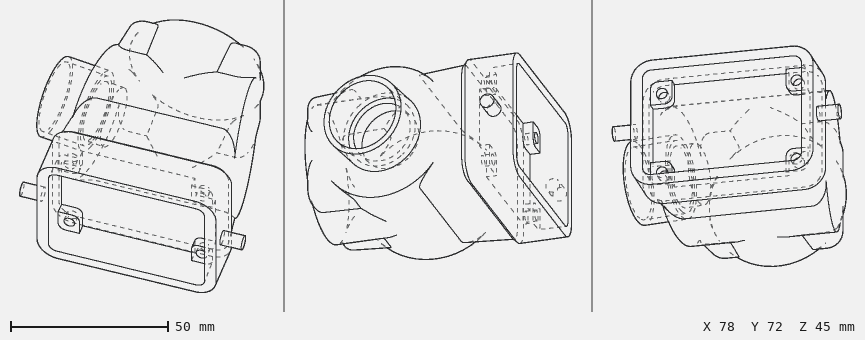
import cadquery as cq
import math

overall_height = 72.0

skirt_width = 59.8
skirt_depth = 42.9
skirt_corner_radius = 7.0
skirt_height = 17.6
skirt_chamfer = 1.55

housing_base_width = skirt_width - 2 * skirt_chamfer
housing_base_depth = skirt_depth - 2 * skirt_chamfer
side_draft_angle = 7.0
face_draft_angle = 1.0
housing_corner_radius = 5.45
housing_end_radius = 2.8

barrel_diameter = 45.0
barrel_axis_y = 45.0

tube_diameter = 27.1
tube_axis_y = 45.4
tube_length = 14.5
tube_bore_diameter = 23.4
entry_hole_diameter = 19.9
entry_hole_depth = 6.25

pin_radius = 2.35
pin_span = 74.0
pin_y = 6.3

cavity_width = 52.2
cavity_depth = 36.05
cavity_corner_radius = 2.8
cavity_height = 12.55
cavity_draft_angle = 1.7
pad_inner_x = 18.7
pad_inner_z = 9.9
pad_corner_radius = 2.35
pad_height = 3.35
screw_hole_radius = 1.8
screw_hole_x = 22.1
screw_hole_z = 13.6

side_slope = math.tan(math.radians(side_draft_angle))
face_slope = math.tan(math.radians(face_draft_angle))


def plane_at(y):
    """Plane square to the hood axis: local x is -X, local y is Z, extruding towards +Y."""
    return cq.Workplane(cq.Plane(origin=(0, y, 0), xDir=(-1, 0, 0), normal=(0, 1, 0)))


def side_half_width(y):
    """Half the housing width along X at height y."""
    return housing_base_width / 2 - (y - skirt_height) * side_slope


def make_skirt():
    return (
        plane_at(0)
        .rect(skirt_width, skirt_depth)
        .extrude(skirt_height)
        .edges("|Y")
        .fillet(skirt_corner_radius)
        .faces(">Y")
        .chamfer(skirt_chamfer)
    )


def make_side_wedge():
    """Block bounded by the two sloping sides, reaching beyond the barrels along Z."""
    base = housing_base_width / 2
    top = side_half_width(overall_height)
    outline = [(-base, skirt_height), (base, skirt_height), (top, overall_height), (-top, overall_height)]
    return cq.Workplane("XY").polyline(outline).close().extrude(skirt_width / 2, both=True)


def make_housing(side_wedge):
    base = housing_base_depth / 2
    top = base - (overall_height - skirt_height) * face_slope
    outline = [(skirt_height, -base), (skirt_height, base), (overall_height, top), (overall_height, -top)]
    faces = cq.Workplane("YZ").polyline(outline).close().extrude(skirt_width / 2, both=True)
    housing = side_wedge.intersect(faces)
    housing = housing.edges("not #Y").fillet(housing_corner_radius)
    return housing.faces(">Y").edges().fillet(housing_end_radius)


def make_barrels(side_wedge):
    section = cq.Workplane("YZ").center(barrel_axis_y, 0).circle(barrel_diameter / 2)
    cross = section.extrude(skirt_width / 2, both=True)
    upright = plane_at(barrel_axis_y).circle(barrel_diameter / 2).extrude(overall_height - barrel_axis_y)
    return cross.intersect(side_wedge).union(upright)


def entry_plane():
    """Plane on the sloping -X side, facing outwards along the cable entry axis."""
    angle = math.radians(side_draft_angle)
    return cq.Plane(
        origin=(-side_half_width(tube_axis_y), tube_axis_y, 0),
        xDir=(0, 0, 1),
        normal=(-math.cos(angle), math.sin(angle), 0),
    )


def add_cable_entry(body):
    entry = cq.Workplane(entry_plane())
    tube = entry.circle(tube_diameter / 2).extrude(tube_length)
    bore = entry.circle(tube_bore_diameter / 2).extrude(tube_length)
    hole = entry.circle(entry_hole_diameter / 2).extrude(-entry_hole_depth)
    return body.union(tube).cut(bore).cut(hole)


def make_screw_pads():
    """Corner pads on the cavity floor, drilled down to the floor; the outer sides merge into the walls."""
    size_x = skirt_width / 2 - pad_inner_x
    size_z = skirt_depth / 2 - pad_inner_z
    pads = cq.Workplane()
    for side_x in (-1, 1):
        for side_z in (-1, 1):
            pad = (
                plane_at(cavity_height - pad_height)
                .center(side_x * (pad_inner_x + size_x / 2), side_z * (pad_inner_z + size_z / 2))
                .rect(size_x, size_z)
                .extrude(pad_height)
                .edges("|Y")
                .fillet(pad_corner_radius)
            )
            hole = (
                plane_at(cavity_height - pad_height)
                .center(side_x * screw_hole_x, side_z * screw_hole_z)
                .circle(screw_hole_radius)
                .extrude(pad_height)
            )
            pads = pads.add(pad.cut(hole))
    return pads


def make_cavity():
    """Empty space inside the skirt, narrowing slightly towards its floor."""
    opening = cq.Sketch().rect(cavity_width, cavity_depth).vertices().fillet(cavity_corner_radius)
    cavity = plane_at(0).placeSketch(opening).extrude(cavity_height, taper=cavity_draft_angle)
    for pad in make_screw_pads().vals():
        cavity = cavity.cut(cq.Workplane(pad))
    return cavity


def make_pins():
    """One bar along X; the cavity separates it into a pin on each side."""
    return cq.Workplane("YZ").center(pin_y, 0).circle(pin_radius).extrude(pin_span / 2, both=True)


side_wedge = make_side_wedge()
body = make_skirt().union(make_housing(side_wedge)).union(make_barrels(side_wedge)).union(make_pins())
result = add_cable_entry(body).cut(make_cavity())